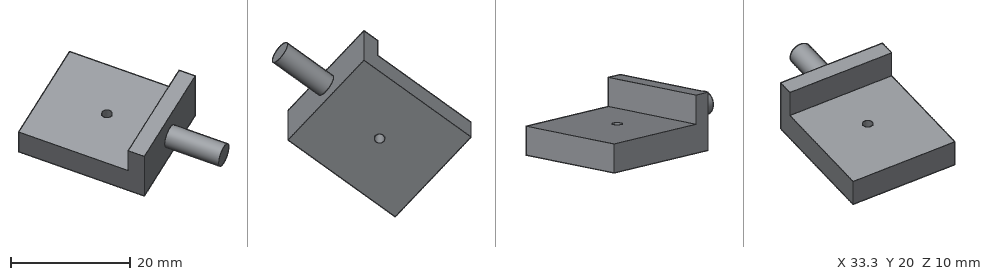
import cadquery as cq

body_length = 23.3
body_width = 20.0
body_height = 10.0
base_thickness = 5.0
wall_thickness = 3.0
pin_length = 10.0
pin_diameter = 4.03
hole_diameter = 1.75


def make_base():
    """Flat plate with its lower left edge on the Y axis, centred on Y = 0."""
    return cq.Workplane("XY").box(
        body_length, body_width, base_thickness, centered=(False, True, False)
    )


def make_wall():
    """Full-height wall standing at the +X end of the plate."""
    return (
        cq.Workplane("XY")
        .box(wall_thickness, body_width, body_height, centered=(False, True, False))
        .translate((body_length - wall_thickness, 0, 0))
    )


def make_pin():
    """Round pin leaving the middle of the wall's outer face along +X."""
    return (
        cq.Workplane("YZ", origin=(body_length, 0, body_height / 2))
        .circle(pin_diameter / 2)
        .extrude(pin_length)
    )


def make_hole():
    """Vertical through hole at the centre of the body."""
    return (
        cq.Workplane("XY", origin=(body_length / 2, 0, 0))
        .circle(hole_diameter / 2)
        .extrude(base_thickness)
    )


result = make_base().union(make_wall()).union(make_pin()).cut(make_hole())